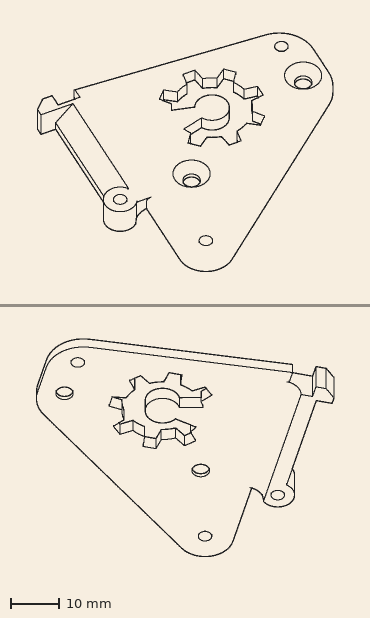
import cadquery as cq
import math

total_height = 6.0
plate_thickness = total_height / 2
plate_bottom = total_height - plate_thickness

plate_front = 9.45
plate_back = 59.5
back_radius = 8.0
back_left_center = (11.0, plate_back - back_radius)
back_right_center = (18.45, plate_back - back_radius)
nose_radius = 6.0
nose_center = (51.0, plate_front + nose_radius)
edge_fillet = 1.0

rail_left = 2.9
rail_right = 34.9
rail_top_front = 7.4
rail_slope = 4.0
rail_bottom_front = rail_top_front - rail_slope
cove_radius = plate_bottom
rail_bottom_back = 6.9
cove_center_y = rail_bottom_back + cove_radius

hook_right = 3.9
hook_back = 4.45
hook_chamfer = 2.25

boss_center = (32.7, 4.45)
boss_diameter = 7.0
pin_hole_diameter = 2.8
pin_holes = [(8.0, 53.5), nose_center, boss_center]
screw_holes = [(17.45, 53.95), (32.55, 21.0)]
screw_hole_diameter = 3.6
screw_head_diameter = 7.75
countersink_angle = 90

gear_center = (17.45, 32.95)
gear_root_radius = 8.45
gear_tip_distance = 11.1
tooth_count = 8
tooth_root_distance = 8.3
tooth_tip_half_width = 1.35
tooth_root_half_width = 1.8
key_diameter = 7.25
stem_neck_half_width = 1.65
stem_neck_distance = 3.05
stem_root_half_width = 3.0
stem_root_distance = 7.9


def point_on_circle(center, radius, angle):
    return (center[0] + radius * math.cos(angle), center[1] + radius * math.sin(angle))


def make_plate():
    corner_dx = -back_left_center[0]
    corner_dy = plate_front - back_left_center[1]
    corner_distance = math.hypot(corner_dx, corner_dy)
    toward_corner = math.atan2(corner_dy, corner_dx) + 2 * math.pi
    left_normal = toward_corner - math.acos(back_radius / corner_distance)

    nose_dx = nose_center[0] - back_right_center[0]
    nose_dy = nose_center[1] - back_right_center[1]
    nose_distance = math.hypot(nose_dx, nose_dy)
    slant_normal = math.atan2(nose_dy, nose_dx) + math.acos((back_radius - nose_radius) / nose_distance)

    straight_up = math.pi / 2
    outline = (
        cq.Workplane("XY", origin=(0, 0, plate_bottom))
        .moveTo(0, plate_front)
        .lineTo(*point_on_circle(back_left_center, back_radius, left_normal))
        .threePointArc(
            point_on_circle(back_left_center, back_radius, (left_normal + straight_up) / 2),
            (back_left_center[0], plate_back),
        )
        .lineTo(back_right_center[0], plate_back)
        .threePointArc(
            point_on_circle(back_right_center, back_radius, (straight_up + slant_normal) / 2),
            point_on_circle(back_right_center, back_radius, slant_normal),
        )
        .lineTo(*point_on_circle(nose_center, nose_radius, slant_normal))
        .threePointArc(
            point_on_circle(nose_center, nose_radius, (slant_normal - straight_up) / 2),
            (nose_center[0], plate_front),
        )
        .lineTo(rail_right, plate_front)
        .lineTo(rail_right, rail_top_front)
        .lineTo(rail_left, rail_top_front)
        .lineTo(rail_left, plate_front)
        .close()
    )
    plate = outline.extrude(plate_thickness)
    return plate.faces(">Z").edges(">Y").fillet(edge_fillet)


def make_rail():
    profile = (
        cq.Workplane("YZ", origin=(rail_left, 0, 0))
        .moveTo(rail_bottom_front, 0)
        .lineTo(cove_center_y, 0)
        .lineTo(cove_center_y, total_height)
        .lineTo(rail_top_front, total_height)
        .lineTo(rail_bottom_front, total_height - rail_slope)
        .close()
    )
    return profile.extrude(rail_right - rail_left)


def make_cove():
    """Cylinder that hollows the back of the rail and of the boss."""
    return (
        cq.Workplane("YZ", origin=(rail_left, 0, 0))
        .center(cove_center_y, 0)
        .circle(cove_radius)
        .extrude(nose_center[0] - rail_left)
    )


def make_hook():
    return (
        cq.Workplane("XY")
        .moveTo(hook_right, 0)
        .lineTo(hook_right, rail_bottom_back)
        .lineTo(rail_left, rail_bottom_back)
        .lineTo(rail_left, hook_back)
        .lineTo(0, hook_back)
        .lineTo(0, hook_chamfer)
        .lineTo(hook_chamfer, 0)
        .close()
        .extrude(total_height)
    )


def make_hook_web():
    """Fill above the slope so that the hook stays full height back to the plate."""
    return cq.Workplane("XY").box(
        hook_right - rail_left, rail_top_front - hook_back, plate_thickness, centered=False
    ).translate((rail_left, hook_back, plate_bottom))


def make_gear_window():
    base = cq.Workplane("XY", origin=(*gear_center, 0))
    window = base.circle(gear_root_radius).extrude(total_height)
    tooth = (
        base.moveTo(-tooth_root_half_width, 0)
        .lineTo(-tooth_root_half_width, tooth_root_distance)
        .lineTo(-tooth_tip_half_width, gear_tip_distance)
        .lineTo(tooth_tip_half_width, gear_tip_distance)
        .lineTo(tooth_root_half_width, tooth_root_distance)
        .lineTo(tooth_root_half_width, 0)
        .close()
        .extrude(total_height)
    )
    axis_start = (*gear_center, 0)
    axis_end = (*gear_center, 1)
    front_tooth = tooth_count // 2
    for index in range(tooth_count):
        if index != front_tooth:
            window = window.union(tooth.rotate(axis_start, axis_end, index * 360 / tooth_count))

    tongue_head = base.circle(key_diameter / 2).extrude(total_height)
    stem_taper = (stem_root_half_width - stem_neck_half_width) / (stem_root_distance - stem_neck_distance)
    stem_end_half_width = stem_neck_half_width + stem_taper * (gear_tip_distance - stem_neck_distance)
    stem = (
        base.moveTo(-stem_neck_half_width, -stem_neck_distance)
        .lineTo(stem_neck_half_width, -stem_neck_distance)
        .lineTo(stem_end_half_width, -gear_tip_distance)
        .lineTo(-stem_end_half_width, -gear_tip_distance)
        .close()
        .extrude(total_height)
    )
    return window.cut(tongue_head).cut(stem)


boss = cq.Workplane("XY").center(*boss_center).circle(boss_diameter / 2).extrude(total_height)
body = make_plate().union(make_rail()).union(make_hook()).union(make_hook_web()).union(boss)
body = body.cut(make_cove()).cut(make_gear_window())

top_plane = cq.Plane(origin=(0, 0, total_height))
body = body.copyWorkplane(cq.Workplane(top_plane)).pushPoints(pin_holes).hole(pin_hole_diameter)
body = (
    body.copyWorkplane(cq.Workplane(top_plane))
    .pushPoints(screw_holes)
    .cskHole(screw_hole_diameter, screw_head_diameter, countersink_angle)
)
result = body